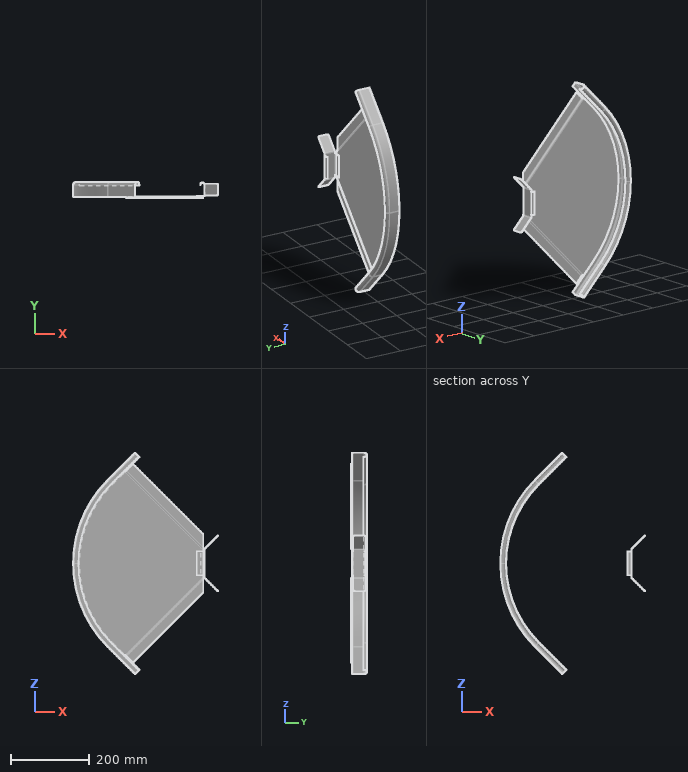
import cadquery as cq
import math

sheet = 1.5
bend_inside_radius = 1.0
bend_outside_radius = bend_inside_radius + sheet
half_bend = 45.0
sin_45 = math.sqrt(0.5)
overall_depth = 41.75

outer_rail_radius = 301.5
outer_rail_height = 39.25
outer_flange = 14.0
outer_curl_radius = 8.25
straight_length = 100.0

curl_angle = 190.0

inner_wall_x = 36.2
inner_rail_height = 36.25
inner_flange = 20.0
inner_curl_radius = 6.0
inner_flange_length = 61.0
tab_end_x = 70.48
tab_face_z_offset = 0.3
tab_bottom = sheet + bend_outside_radius
tab_height = 30.5
tab_corner_radius = 4.0

floor_radius = outer_rail_radius - outer_flange
floor_inner_x = 33.0
step_start = 47.5
step_inside_radius = 0.5
step_outside_radius = step_inside_radius + sheet
step_drop = overall_depth - outer_rail_height
strip_end = 76.0
strip_gap = 3.0


def rail_section(wall_x, inward, base_y, height, curl_radius, flange):
    """XY outline of a rail. The outside of its wall is at wall_x, and inward is +1 or -1."""
    curl_y = height - curl_radius
    curl_inner_radius = curl_radius - sheet

    def at(distance, y):
        return (wall_x + inward * distance, base_y + y)

    def on_bend(radius):
        middle = bend_outside_radius - radius * sin_45
        return at(middle, middle)

    def on_curl(radius, degrees):
        angle = math.radians(degrees)
        return at(curl_radius - radius * math.cos(angle), curl_y + radius * math.sin(angle))

    return (
        cq.Workplane("XY")
        .moveTo(*at(flange, 0))
        .lineTo(*at(bend_outside_radius, 0))
        .threePointArc(on_bend(bend_outside_radius), at(0, bend_outside_radius))
        .lineTo(*at(0, curl_y))
        .threePointArc(on_curl(curl_radius, curl_angle / 2), on_curl(curl_radius, curl_angle))
        .lineTo(*on_curl(curl_inner_radius, curl_angle))
        .threePointArc(on_curl(curl_inner_radius, curl_angle / 2), at(sheet, curl_y))
        .lineTo(*at(sheet, bend_outside_radius))
        .threePointArc(on_bend(bend_inside_radius), at(bend_outside_radius, sheet))
        .lineTo(*at(flange, sheet))
        .close()
    )


def with_mirror_half(half):
    return half.union(half.mirror("XY"))


def make_outer_rail():
    def section():
        return rail_section(
            -outer_rail_radius, 1, 0, outer_rail_height, outer_curl_radius, outer_flange
        )

    curve = section().revolve(half_bend, (0, 0), (0, 1))
    straight = section().extrude(straight_length).rotate((0, 0, 0), (0, 1, 0), half_bend)
    half = curve.union(straight)
    return half.union(half.mirror("XY"), clean=False)


def make_tabbed_wall():
    """Half of the flat wall, from the middle of the tray to the end of one tab."""
    inside_x = inner_wall_x - sheet
    bend_z = inner_wall_x + tab_face_z_offset
    inside_bend_z = bend_z + sheet * math.tan(math.radians(half_bend / 2))
    tab_end_z = tab_end_x + tab_face_z_offset
    outline = [
        (inner_wall_x, 0),
        (inner_wall_x, bend_z),
        (tab_end_x, tab_end_z),
        (tab_end_x - sheet * sin_45, tab_end_z + sheet * sin_45),
        (inside_x, inside_bend_z),
        (inside_x, 0),
    ]
    middle_y = tab_bottom + tab_height / 2
    wall = (
        cq.Workplane("XZ", origin=(0, tab_bottom, 0)).polyline(outline).close().extrude(-tab_height)
    )
    for x, z, radius in (
        (inner_wall_x, bend_z, bend_inside_radius),
        (inside_x, inside_bend_z, bend_outside_radius),
    ):
        wall = wall.edges(cq.NearestToPointSelector((x, middle_y, z))).fillet(radius)
    tab_end = wall.faces(cq.DirectionMinMaxSelector(cq.Vector(1, 0, 1)))
    return tab_end.edges("<Y or >Y").fillet(tab_corner_radius)


def make_inner_rail():
    section = rail_section(
        inner_wall_x, -1, sheet, inner_rail_height, inner_curl_radius, inner_flange
    )
    wall = section.extrude(inner_flange_length / 2, both=True)
    return wall.union(with_mirror_half(make_tabbed_wall()))


def along_end(radius, distance):
    """XZ point at a radius across the tray and a distance towards the tray's upper end."""
    return ((distance - radius) * sin_45, (distance + radius) * sin_45)


def at_floor_inner_edge(distance):
    return along_end(distance - floor_inner_x / sin_45, distance)


def make_strip_profile():
    """XY profile of the step and joint strip, with X as the distance towards the tray's end."""
    bend_rise = 1 - sin_45
    slope = step_drop - (step_inside_radius + step_outside_radius) * bend_rise
    step_end = step_start + (step_inside_radius + step_outside_radius) * sin_45 + slope
    upper_centre = (step_start, -step_inside_radius)
    lower_centre = (step_end, step_outside_radius - step_drop)

    def around(centre, radius, degrees):
        angle = math.radians(degrees)
        return (centre[0] + radius * math.cos(angle), centre[1] + radius * math.sin(angle))

    return (
        cq.Workplane("XY")
        .moveTo(step_start, sheet)
        .threePointArc(
            around(upper_centre, step_outside_radius, 67.5),
            around(upper_centre, step_outside_radius, 45),
        )
        .lineTo(*around(lower_centre, step_inside_radius, 225))
        .threePointArc(
            around(lower_centre, step_inside_radius, 247.5),
            around(lower_centre, step_inside_radius, 270),
        )
        .lineTo(strip_end, sheet - step_drop)
        .lineTo(strip_end, -step_drop)
        .lineTo(step_end, -step_drop)
        .threePointArc(
            around(lower_centre, step_outside_radius, 247.5),
            around(lower_centre, step_outside_radius, 225),
        )
        .lineTo(*around(upper_centre, step_inside_radius, 45))
        .threePointArc(
            around(upper_centre, step_inside_radius, 67.5),
            (step_start, 0),
        )
        .close()
    )


def make_floor():
    flat = (
        cq.Workplane("XZ")
        .moveTo(-floor_radius, 0)
        .threePointArc(
            (
                -floor_radius * math.cos(math.radians(half_bend / 2)),
                floor_radius * math.sin(math.radians(half_bend / 2)),
            ),
            along_end(floor_radius, 0),
        )
        .lineTo(*along_end(floor_radius, step_start))
        .lineTo(*at_floor_inner_edge(step_start))
        .lineTo(floor_inner_x, 0)
        .close()
        .extrude(-sheet)
    )
    strip_outline = [
        along_end(floor_radius - strip_gap, step_start),
        along_end(floor_radius - strip_gap, strip_end),
        at_floor_inner_edge(strip_end),
        at_floor_inner_edge(step_start),
    ]
    strip_area = (
        cq.Workplane("XZ", origin=(0, -step_drop, 0))
        .polyline(strip_outline)
        .close()
        .extrude(-(sheet + step_drop))
    )
    strip = make_strip_profile().extrude(floor_radius).rotate((0, 0, 0), (0, 1, 0), -half_bend)
    return with_mirror_half(flat.union(strip.intersect(strip_area)))


outer_rail = make_outer_rail()
inner_rail = make_inner_rail()
floor = make_floor()

result = cq.Compound.makeCompound([outer_rail.val(), inner_rail.val(), floor.val()])